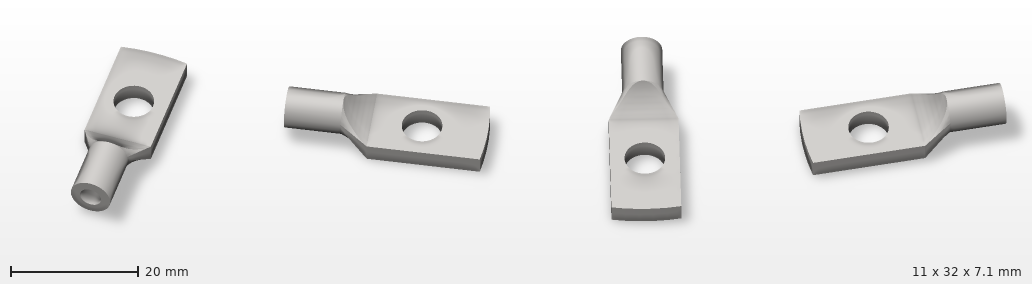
import cadquery as cq

total_length = 31.95
palm_width = 11.0
palm_thickness = 3.0
tip_rise = 0.45
stud_hole_diameter = 6.4
stud_hole_from_entry = 21.5
barrel_diameter = 6.5
barrel_length = 9.0
bore_diameter = 3.5
bore_depth = barrel_length
neck_length = 4.5
neck_dip_height = 4.2
total_height = 7.1

barrel_axis_z = total_height - barrel_diameter / 2
palm_start = barrel_length + neck_length


def make_palm():
    """Flat plate with a curved tip and a stud hole."""
    half_width = palm_width / 2
    corner_y = total_length - tip_rise
    plate = (
        cq.Workplane("XY")
        .moveTo(-half_width, palm_start)
        .lineTo(half_width, palm_start)
        .lineTo(half_width, corner_y)
        .threePointArc((0, total_length), (-half_width, corner_y))
        .close()
        .extrude(palm_thickness)
    )
    stud_hole = (
        cq.Workplane("XY")
        .center(0, stud_hole_from_entry)
        .circle(stud_hole_diameter / 2)
        .extrude(palm_thickness)
    )
    return plate.cut(stud_hole)


def rod(diameter, length):
    """Cylinder on the barrel axis, starting at the wire entry."""
    return (
        cq.Workplane("XZ", origin=(0, 0, barrel_axis_z))
        .circle(diameter / 2)
        .extrude(-length)
    )


def make_neck():
    """Blend from the round barrel to the rectangular palm."""
    blend = (
        cq.Workplane("XZ", origin=(0, barrel_length, barrel_axis_z))
        .circle(barrel_diameter / 2)
        .workplane(offset=-neck_length)
        .center(0, palm_thickness / 2 - barrel_axis_z)
        .rect(palm_width, palm_thickness)
        .loft(ruled=True)
    )
    space_above = (
        cq.Workplane("YZ")
        .moveTo(barrel_length, total_height)
        .threePointArc(
            (barrel_length + neck_length / 2, neck_dip_height),
            (palm_start, palm_thickness),
        )
        .lineTo(palm_start, total_height)
        .close()
        .extrude(palm_width / 2, both=True)
    )
    return blend.cut(space_above)


bore = rod(bore_diameter, bore_depth)
result = make_palm().union(make_neck()).union(rod(barrel_diameter, barrel_length)).cut(bore)